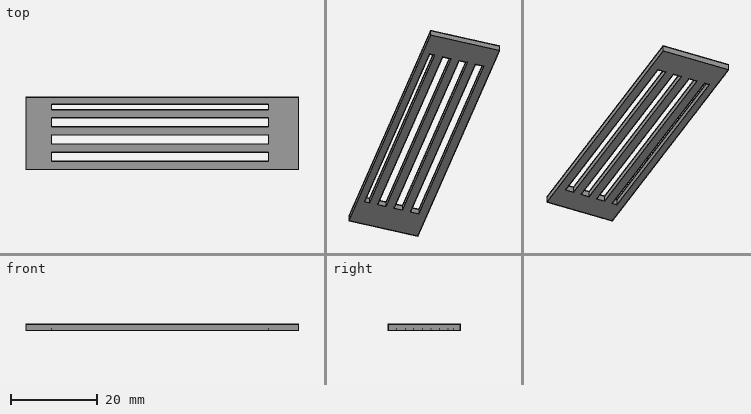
import cadquery as cq

length = 63.0
width = 16.7
thickness = 1.5

left_margin = 6.0
right_margin = 7.0
slot_length = length - left_margin - right_margin
slot_start = -length / 2 + left_margin

wide_slot = 2.0
narrow_slot = 1.2
bar_width = 1.95
front_margin = 1.95
slot_widths = [wide_slot, wide_slot, wide_slot, narrow_slot]

result = cq.Workplane("XY").box(length, width, thickness)

slot_front = -width / 2 + front_margin
for slot_width in slot_widths:
    slot = (
        cq.Workplane("XY")
        .box(slot_length, slot_width, thickness, centered=(False, False, True))
        .translate((slot_start, slot_front, 0))
    )
    result = result.cut(slot)
    slot_front += slot_width + bar_width